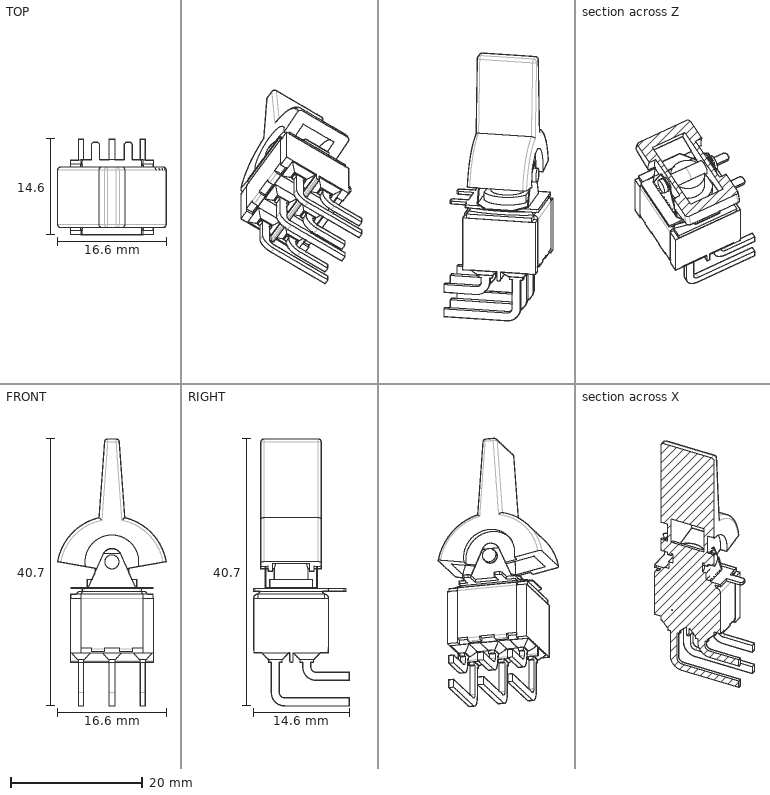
import cadquery as cq
import math


CASE_X = 12.7
CASE_Y = 11.46
CASE_TOP = 8.96
COVER_X = 9.46
COVER_BOTTOM = 0.7
COVER_EDGE_RADIUS = 0.65
CAP_LEDGE_DEPTH = 0.65
CAP_SETBACK = 0.05
WALL_RECESS = 1.1
TAB_X = 2.15
TAB_WIDTH = 1.98
TAB_BOTTOM = 0.18
TAB_RADIUS = 0.4

CROWN_HALF_Y = 5.06
CROWN_BULGE_X = 5.46
CROWN_HEIGHT = 0.4
CROWN_TAPER = 40

FRAME_BOTTOM = 9.36
FRAME_TOP = 9.82
FRAME_X = 9.08
FRAME_CORNER_RADIUS = 0.27
PRONG_X = 2.5
PRONG_WIDTH = 1.28
PRONG_TIP_Y = 8.4
PRONG_TIP_CHAMFER = 0.3

ARM_THICKNESS = 0.15
BRACKET_TOP = 9.98
BRACKET_HALF_X = 6.25
BRACKET_END_HALF_Y = 2.1
ARM_BASE_HALF_X = 3.67
ARM_TOP_HALF_X = 1.3
ARM_OUTER_Y = 4.0
ARM_TOP = 15.13
TIP_HEIGHT = 0.83
TIP_LEAN = 20

BUSHING_DIAMETER = 5.2
COLLAR_DIAMETER = 7.6
COLLAR_ACROSS_FLATS = 6.55
COLLAR_TOP = 11.2

LEVER_Y = 9.25
LEVER_TOP = 32.62
LEVER_RADIUS = 8.43
LEVER_CENTRE_Z = 12.42
LEVER_END_ANGLE = 10
HANDLE_TOP_HALF_X = 1.1
HANDLE_ROOT_HALF_X = 1.98
LEVER_EDGE_RADIUS = 0.5
CAVITY_RADIUS = 6.7
CAVITY_Y = 5.6
RECESS_RADIUS = 4.1
RECESS_FLOOR_Y = 3.5
PIVOT_Z = 13.86
PIVOT_DIAMETER = 2.15

TERMINAL_PITCH = 4.72
ROW_HALF_SPACING = 2.4
PIN_DEPTH = 1.26
OUTER_PIN_WIDTH = 0.8
CENTRE_PIN_WIDTH = 0.95
PIN_END_Y = 8.88
BEND_OUTER_RADIUS = 2.05
REAR_ROW_BOTTOM = -4.22
FRONT_ROW_BOTTOM = -8.12
SEAL_HEIGHT = 1.0
SEAL_TOP_X = 2.94
SEAL_TOP_Y = 4.2
SEAL_BOTTOM_X = 1.1
SEAL_BOTTOM_Y = 2.25
NECK_Y = 2.08
NECK_BOTTOM = -1.47

RIB_THICKNESS = 0.53
RIB_Y = 0.06
RIB_DEPTH = 1.45
RIB_EDGE_RADIUS = 0.2


def box(size_x, size_y, bottom, top, x=0, y=0):
    """Upright block centred on (x, y) between two heights."""
    block = cq.Workplane("XY").box(size_x, size_y, top - bottom, centered=(True, True, False))
    return block.translate((x, y, bottom))


def mirrored_y(shape):
    """The shape together with its mirror image across Y = 0."""
    return shape.union(shape.mirror("XZ"))


def make_case():
    recess_y = (WALL_RECESS - CASE_Y) / 2
    ledge_z = CASE_TOP - CAP_LEDGE_DEPTH
    caps = box(CASE_X, CASE_Y - 2 * CAP_SETBACK, 0, ledge_z)
    cap_top_x = CASE_X - 2 * CAP_SETBACK
    caps = caps.union(box(cap_top_x, CASE_Y - 2 * CAP_LEDGE_DEPTH, ledge_z, CASE_TOP))
    caps = caps.cut(mirrored_y(box(COVER_X, WALL_RECESS, 0, COVER_BOTTOM, y=recess_y)))

    cover = box(COVER_X, CASE_Y, COVER_BOTTOM, CASE_TOP)
    cover = cover.edges("|X and >Z").fillet(COVER_EDGE_RADIUS)
    case = caps.union(cover)
    for side in (-1, 1):
        tab = box(TAB_WIDTH, WALL_RECESS, TAB_BOTTOM, COVER_BOTTOM, side * TAB_X, recess_y)
        tab = tab.edges("|X and <Y and <Z").fillet(TAB_RADIUS)
        case = case.union(mirrored_y(tab))
    return case


def make_crown():
    half_x = COVER_X / 2
    return (
        cq.Workplane("XY", origin=(0, 0, CASE_TOP))
        .moveTo(half_x, -CROWN_HALF_Y)
        .threePointArc((CROWN_BULGE_X, 0), (half_x, CROWN_HALF_Y))
        .lineTo(-half_x, CROWN_HALF_Y)
        .threePointArc((-CROWN_BULGE_X, 0), (-half_x, -CROWN_HALF_Y))
        .close()
        .extrude(CROWN_HEIGHT, taper=CROWN_TAPER)
    )


def make_frame():
    frame = box(FRAME_X, CASE_Y, FRAME_BOTTOM, FRAME_TOP).edges("|Z").fillet(FRAME_CORNER_RADIUS)
    for side in (-1, 1):
        prong = box(PRONG_WIDTH, PRONG_TIP_Y, FRAME_BOTTOM, FRAME_TOP, side * PRONG_X, PRONG_TIP_Y / 2)
        frame = frame.union(prong.edges("|Z and >Y").chamfer(PRONG_TIP_CHAMFER))
    return frame


def make_arm():
    """Arm on the -Y side: a tapered upright with a rounded tip leaning outward."""
    inner_y = ARM_THICKNESS - ARM_OUTER_Y
    upright = (
        cq.Workplane("XZ", origin=(0, inner_y, 0))
        .polyline([
            (-ARM_BASE_HALF_X, FRAME_TOP),
            (ARM_BASE_HALF_X, FRAME_TOP),
            (ARM_TOP_HALF_X, ARM_TOP),
            (-ARM_TOP_HALF_X, ARM_TOP),
        ])
        .close()
        .extrude(ARM_THICKNESS)
    )
    tip = (
        cq.Workplane("XZ", origin=(0, inner_y, ARM_TOP))
        .moveTo(-ARM_TOP_HALF_X, 0)
        .threePointArc((0, TIP_HEIGHT), (ARM_TOP_HALF_X, 0))
        .close()
        .extrude(ARM_THICKNESS)
        .rotate((0, inner_y, ARM_TOP), (1, inner_y, ARM_TOP), TIP_LEAN)
    )
    return upright.union(tip)


def make_bracket():
    corners = [
        (BRACKET_HALF_X, BRACKET_END_HALF_Y),
        (ARM_BASE_HALF_X, ARM_OUTER_Y),
        (-ARM_BASE_HALF_X, ARM_OUTER_Y),
        (-BRACKET_HALF_X, BRACKET_END_HALF_Y),
        (-BRACKET_HALF_X, -BRACKET_END_HALF_Y),
        (-ARM_BASE_HALF_X, -ARM_OUTER_Y),
        (ARM_BASE_HALF_X, -ARM_OUTER_Y),
        (BRACKET_HALF_X, -BRACKET_END_HALF_Y),
    ]
    plate = cq.Workplane("XY", origin=(0, 0, FRAME_TOP)).polyline(corners).close()
    plate = plate.extrude(BRACKET_TOP - FRAME_TOP)
    return plate.union(mirrored_y(make_arm()))


def make_bushing():
    base = cq.Workplane("XY", origin=(0, 0, FRAME_TOP))
    collar = base.circle(COLLAR_DIAMETER / 2).extrude(COLLAR_TOP - FRAME_TOP)
    collar = collar.intersect(box(COLLAR_DIAMETER, COLLAR_ACROSS_FLATS, FRAME_TOP, COLLAR_TOP))
    return collar.union(base.circle(BUSHING_DIAMETER / 2).extrude(PIVOT_Z - FRAME_TOP))


def slab(sketch, width_y):
    """Extrude an XZ outline symmetrically about Y = 0."""
    return sketch.extrude(width_y / 2, both=True)


def make_lever():
    angle = math.radians(LEVER_END_ANGLE)
    end_x = LEVER_RADIUS * math.cos(angle)
    end_z = LEVER_CENTRE_Z + LEVER_RADIUS * math.sin(angle)
    mid_x = LEVER_RADIUS * math.sin(math.pi / 4)
    mid_z = LEVER_CENTRE_Z + mid_x
    root_z = LEVER_CENTRE_Z + math.sqrt(LEVER_RADIUS**2 - HANDLE_ROOT_HALF_X**2)

    outline = (
        cq.Workplane("XZ")
        .moveTo(0, LEVER_CENTRE_Z)
        .lineTo(end_x, end_z)
        .threePointArc((mid_x, mid_z), (HANDLE_ROOT_HALF_X, root_z))
        .lineTo(HANDLE_TOP_HALF_X, LEVER_TOP)
        .lineTo(-HANDLE_TOP_HALF_X, LEVER_TOP)
        .lineTo(-HANDLE_ROOT_HALF_X, root_z)
        .threePointArc((-mid_x, mid_z), (-end_x, end_z))
        .close()
    )
    lever = slab(outline, LEVER_Y)

    rim_box = cq.selectors.BoxSelector(
        (-end_x, -LEVER_Y, end_z),
        (end_x, LEVER_Y, LEVER_TOP + LEVER_EDGE_RADIUS),
    )
    rim = lever.faces("<Y or >Y").edges(rim_box)
    tip = lever.faces(">Z").edges("|Y")
    lever = rim.add(tip.vals()).fillet(LEVER_EDGE_RADIUS)

    cavity = slab(cq.Workplane("XZ", origin=(0, 0, LEVER_CENTRE_Z)).circle(CAVITY_RADIUS), CAVITY_Y)
    recess_depth = LEVER_Y / 2 - RECESS_FLOOR_Y
    recess_plane = cq.Workplane("XZ", origin=(0, -RECESS_FLOOR_Y, PIVOT_Z))
    recess = recess_plane.circle(RECESS_RADIUS).extrude(recess_depth)
    return lever.cut(cavity).cut(mirrored_y(recess))


def make_pivot():
    """Pivot pin through the lever and both bracket arms."""
    return slab(cq.Workplane("XZ", origin=(0, 0, PIVOT_Z)).circle(PIVOT_DIAMETER / 2), LEVER_Y)


def make_terminal(x, y, width, bottom):
    """Tapered seal, neck and a pin that turns from downward to +Y."""
    seal = (
        cq.Workplane("XY", origin=(x, y, 0))
        .rect(SEAL_TOP_X, SEAL_TOP_Y)
        .workplane(offset=-SEAL_HEIGHT)
        .rect(SEAL_BOTTOM_X, SEAL_BOTTOM_Y)
        .loft()
    )
    neck = box(width, NECK_Y, NECK_BOTTOM, -SEAL_HEIGHT, x, y)

    back = y - PIN_DEPTH / 2
    bend_y = back + BEND_OUTER_RADIUS
    bend_z = bottom + BEND_OUTER_RADIUS
    inner_radius = BEND_OUTER_RADIUS - PIN_DEPTH
    diagonal = math.sin(math.pi / 4)
    pin = (
        cq.Workplane("YZ", origin=(x, 0, 0))
        .moveTo(back, -SEAL_HEIGHT)
        .lineTo(back, bend_z)
        .threePointArc(
            (bend_y - BEND_OUTER_RADIUS * diagonal, bend_z - BEND_OUTER_RADIUS * diagonal),
            (bend_y, bottom),
        )
        .lineTo(PIN_END_Y, bottom)
        .lineTo(PIN_END_Y, bottom + PIN_DEPTH)
        .lineTo(bend_y, bottom + PIN_DEPTH)
        .threePointArc(
            (bend_y - inner_radius * diagonal, bend_z - inner_radius * diagonal),
            (back + PIN_DEPTH, bend_z),
        )
        .lineTo(back + PIN_DEPTH, -SEAL_HEIGHT)
        .close()
        .extrude(width / 2, both=True)
    )
    return seal.union(neck).union(pin)


def make_rib():
    rib = box(CASE_X, RIB_THICKNESS, -RIB_DEPTH, 0, y=RIB_Y)
    return rib.edges("|X and <Z").fillet(RIB_EDGE_RADIUS)


result = make_case()
for feature in (
    make_crown(),
    make_frame(),
    make_bracket(),
    make_bushing(),
    make_pivot(),
    make_lever(),
    make_rib(),
):
    result = result.union(feature)

for column in (-1, 0, 1):
    pin_width = CENTRE_PIN_WIDTH if column == 0 else OUTER_PIN_WIDTH
    column_x = column * TERMINAL_PITCH
    result = result.union(make_terminal(column_x, ROW_HALF_SPACING, pin_width, REAR_ROW_BOTTOM))
    result = result.union(make_terminal(column_x, -ROW_HALF_SPACING, pin_width, FRONT_ROW_BOTTOM))